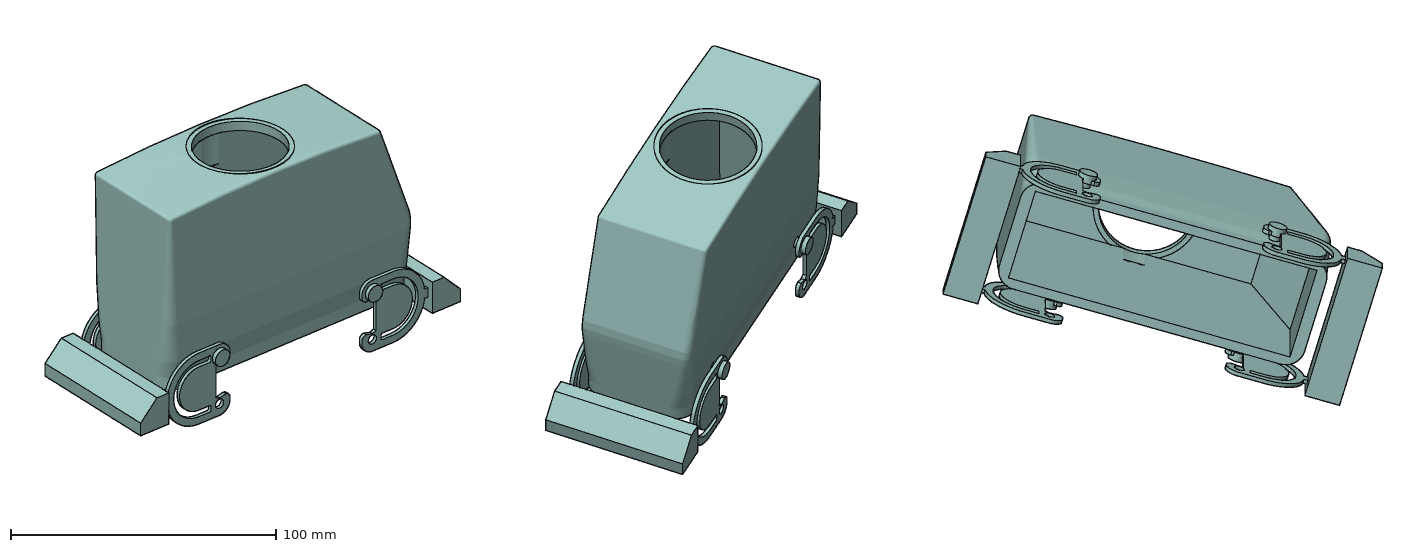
import cadquery as cq
import math

HOOD_WIDTH = 45.5
RIM_WIDTH = 43.4
WAIST_WIDTH = 44.6
RIM_HEIGHT = 5.1
WAIST_HEIGHT = 12.5
SHOULDER_HEIGHT = 28.9
BEND_START = 32.1
BEND_END = 35.5
CREST_HEIGHT = 78.8

HOOD_END = 60.0
FRONT_TOP_END = 59.0
REAR_BEND_START = 59.9
REAR_BEND_END = 59.3
REAR_TOP_END = 43.4

RIM_CORNER = 7.5
WAIST_CORNER = 6.1
FRONT_SHOULDER_CORNER = 4.2
REAR_SHOULDER_CORNER = 3.3
REAR_BEND_CORNER = 3.0
TOP_CORNER = 1.4
TOP_FILLET = 1.4

ARCH_RADIUS = 670.8
ARCH_Y = -6.7
CABLE_Y = -6.1

WALL = 4.7
ROOF = 4.4
CAVITY_WIDTH = 35.9

RING_RADIUS = 20.5
HOLE_RADIUS = 18.4
HOLE_DEPTH = 17.5

LEVER_MID_Z = -0.5
PLATE_HALF_HEIGHT = 15.6
PLATE_INNER_X = 24.2
PLATE_THICKNESS = 1.5
PLATE_ARC_REACH = 47.3
PLATE_EDGE_REACH = 39.0
SLOT_OUTER_RADIUS = 12.3
SLOT_INNER_RADIUS = 9.5
SLOT_END_REACH = 41.5
SLOT_CORNER = 0.6

PIN_REACH = 37.3
PIN_OFFSET = 10.5
HOOK_HOLE_DIAMETER = 3.9
HOOK_TIP_RADIUS = 2.2
NOTCH_OFFSET = 8.0

SHANK_DIAMETER = 4.2
SHANK_INNER_X = 20.3
HEAD_DIAMETER = 7.0
HEAD_OUTER_X = 27.6

BAR_LENGTH = 57.0
BAR_INNER_REACH = 64.3
BAR_OUTER_REACH = 78.0
BAR_TOP_REACH = 70.0
BAR_TOP_Z = 5.3
BAR_CHAMFER_Z = -2.8
BAR_BOTTOM_Z = -8.5
NECK_HEIGHT = 4.0


def end_section(z, width, reach, corner, side):
    """Wire of half a rounded rectangle from y = 0 to the end at y = side * reach."""
    half = width / 2
    inset = corner * (1 - math.sqrt(0.5))
    return (
        cq.Workplane("XY", origin=(0, 0, z))
        .moveTo(-half, 0)
        .lineTo(half, 0)
        .lineTo(half, side * (reach - corner))
        .threePointArc((half - inset, side * (reach - inset)), (half - corner, side * reach))
        .lineTo(corner - half, side * reach)
        .threePointArc((inset - half, side * (reach - inset)), (-half, side * (reach - corner)))
        .close()
        .val()
    )


def front_reach(z):
    """Reach of the flat front wall, which leans back above the rim band."""
    lean = (HOOD_END - FRONT_TOP_END) / (CREST_HEIGHT - RIM_HEIGHT)
    return HOOD_END - lean * (z - RIM_HEIGHT)


def hood_half(side, sections):
    """One half of the outer hood, its corner radius shrinking from the rim upwards."""
    return cq.Workplane(cq.Solid.makeLoft([end_section(*section, side) for section in sections], True))


def front_half():
    return hood_half(-1, [
        (0, RIM_WIDTH, HOOD_END, RIM_CORNER),
        (RIM_HEIGHT, RIM_WIDTH, HOOD_END, RIM_CORNER),
        (WAIST_HEIGHT, WAIST_WIDTH, front_reach(WAIST_HEIGHT), WAIST_CORNER),
        (SHOULDER_HEIGHT, HOOD_WIDTH, front_reach(SHOULDER_HEIGHT), FRONT_SHOULDER_CORNER),
        (CREST_HEIGHT, HOOD_WIDTH, FRONT_TOP_END, TOP_CORNER),
    ])


def rear_half():
    return hood_half(1, [
        (0, RIM_WIDTH, HOOD_END, RIM_CORNER),
        (RIM_HEIGHT, RIM_WIDTH, HOOD_END, RIM_CORNER),
        (WAIST_HEIGHT, WAIST_WIDTH, HOOD_END, WAIST_CORNER),
        (SHOULDER_HEIGHT, HOOD_WIDTH, HOOD_END, REAR_SHOULDER_CORNER),
        (BEND_START, HOOD_WIDTH, REAR_BEND_START, REAR_BEND_CORNER),
        (BEND_END, HOOD_WIDTH, REAR_BEND_END, REAR_BEND_CORNER),
        (CREST_HEIGHT, HOOD_WIDTH, REAR_TOP_END, TOP_CORNER),
    ])


def arched_top():
    """Everything below the gently arched top, which is highest near the cable opening."""
    return (
        cq.Workplane("YZ", origin=(0, ARCH_Y, CREST_HEIGHT - ARCH_RADIUS))
        .circle(ARCH_RADIUS)
        .extrude(HOOD_WIDTH, both=True)
    )


def hood_outside():
    outside = front_half().union(rear_half()).intersect(arched_top())
    return outside.faces(">Z").edges().fillet(TOP_FILLET)


def cavity():
    """Space inside the hood, open at the rim, following the sloped rear wall."""
    slope_run = (REAR_BEND_END - REAR_TOP_END) / (CREST_HEIGHT - BEND_END)
    slope_wall = WALL * math.hypot(1, slope_run)
    ceiling = CREST_HEIGHT - ROOF
    ceiling_rear = REAR_TOP_END + slope_run * ROOF - slope_wall
    rear_wall = HOOD_END - WALL
    bend_z = ceiling - (rear_wall - ceiling_rear) / slope_run
    return (
        cq.Workplane("YZ")
        .polyline([
            (-rear_wall, 0),
            (rear_wall, 0),
            (rear_wall, bend_z),
            (ceiling_rear, ceiling),
            (WALL - FRONT_TOP_END, ceiling),
        ])
        .close()
        .extrude(CAVITY_WIDTH / 2, both=True)
    )


RING_TOP = CREST_HEIGHT - ARCH_RADIUS + math.sqrt(ARCH_RADIUS**2 - RING_RADIUS**2)
RING_BOTTOM = CREST_HEIGHT - ROOF


def cable_cylinder(radius, bottom):
    return cq.Workplane("XY", origin=(0, CABLE_Y, bottom)).circle(radius).extrude(CREST_HEIGHT - bottom)


def hollow_hood():
    hole = cable_cylinder(HOLE_RADIUS, RING_TOP - HOLE_DEPTH)
    ring_seat = cable_cylinder(RING_RADIUS, RING_BOTTOM)
    return hood_outside().cut(cavity()).cut(hole).cut(ring_seat)


def plate_sketch():
    return cq.Workplane("YZ", origin=(PLATE_INNER_X, 0, LEVER_MID_Z))


def plate_blank():
    """Side plate outline: round outer end, straight inner edge and a hook at top and bottom."""
    end_radius = PLATE_HALF_HEIGHT - PIN_OFFSET
    lobe_reach = PIN_REACH - end_radius
    lobe_mid = end_radius * math.sqrt(0.5)
    tip_reach = lobe_reach + HOOK_TIP_RADIUS
    tip_height = PIN_OFFSET - HOOK_TIP_RADIUS / 2
    edge_height = tip_height - HOOK_TIP_RADIUS
    return (
        plate_sketch()
        .moveTo(PLATE_EDGE_REACH, -edge_height)
        .lineTo(PIN_REACH, -NOTCH_OFFSET)
        .lineTo(tip_reach, -edge_height)
        .radiusArc((lobe_reach, -tip_height), -HOOK_TIP_RADIUS)
        .lineTo(lobe_reach, -PIN_OFFSET)
        .threePointArc((PIN_REACH - lobe_mid, -PIN_OFFSET - lobe_mid), (PIN_REACH, -PLATE_HALF_HEIGHT))
        .lineTo(PLATE_ARC_REACH, -PLATE_HALF_HEIGHT)
        .threePointArc((PLATE_ARC_REACH + PLATE_HALF_HEIGHT, 0), (PLATE_ARC_REACH, PLATE_HALF_HEIGHT))
        .lineTo(PIN_REACH, PLATE_HALF_HEIGHT)
        .threePointArc((PIN_REACH - lobe_mid, PIN_OFFSET + lobe_mid), (lobe_reach, PIN_OFFSET))
        .lineTo(lobe_reach, tip_height)
        .radiusArc((tip_reach, edge_height), -HOOK_TIP_RADIUS)
        .lineTo(PIN_REACH, NOTCH_OFFSET)
        .lineTo(PLATE_EDGE_REACH, edge_height)
        .close()
        .extrude(PLATE_THICKNESS)
    )


def plate_slot():
    """C-shaped slot that follows the round outer end of a side plate."""
    return (
        plate_sketch()
        .moveTo(SLOT_END_REACH, SLOT_OUTER_RADIUS)
        .lineTo(PLATE_ARC_REACH, SLOT_OUTER_RADIUS)
        .threePointArc((PLATE_ARC_REACH + SLOT_OUTER_RADIUS, 0), (PLATE_ARC_REACH, -SLOT_OUTER_RADIUS))
        .lineTo(SLOT_END_REACH, -SLOT_OUTER_RADIUS)
        .lineTo(SLOT_END_REACH, -SLOT_INNER_RADIUS)
        .lineTo(PLATE_ARC_REACH, -SLOT_INNER_RADIUS)
        .threePointArc((PLATE_ARC_REACH + SLOT_INNER_RADIUS, 0), (PLATE_ARC_REACH, SLOT_INNER_RADIUS))
        .lineTo(SLOT_END_REACH, SLOT_INNER_RADIUS)
        .close()
        .extrude(PLATE_THICKNESS)
        .faces("<Y")
        .edges("|X")
        .fillet(SLOT_CORNER)
    )


def hook_hole():
    return (
        plate_sketch()
        .center(PIN_REACH, -PIN_OFFSET)
        .circle(HOOK_HOLE_DIAMETER / 2)
        .extrude(PLATE_THICKNESS)
    )


def neck():
    """Web that joins the round end of a side plate to the bar."""
    root = PLATE_ARC_REACH + (PLATE_HALF_HEIGHT + SLOT_OUTER_RADIUS) / 2
    length = BAR_INNER_REACH - root
    return (
        plate_sketch()
        .center(root + length / 2, 0)
        .rect(length, NECK_HEIGHT)
        .extrude(PLATE_THICKNESS)
    )


def pin_cylinder(diameter, inner_x, outer_x):
    return (
        cq.Workplane("YZ", origin=(inner_x, PIN_REACH, LEVER_MID_Z + PIN_OFFSET))
        .circle(diameter / 2)
        .extrude(outer_x - inner_x)
    )


def side_arm():
    """Side plate at positive x, with its neck and its headed pin."""
    plate = plate_blank().cut(plate_slot()).cut(hook_hole()).union(neck())
    shank = pin_cylinder(SHANK_DIAMETER, SHANK_INNER_X, PLATE_INNER_X)
    head = pin_cylinder(HEAD_DIAMETER, PLATE_INNER_X, HEAD_OUTER_X)
    return plate.union(shank).union(head)


def bar():
    return (
        cq.Workplane("YZ")
        .polyline([
            (BAR_INNER_REACH, BAR_BOTTOM_Z),
            (BAR_OUTER_REACH, BAR_BOTTOM_Z),
            (BAR_OUTER_REACH, BAR_CHAMFER_Z),
            (BAR_TOP_REACH, BAR_TOP_Z),
            (BAR_INNER_REACH, BAR_TOP_Z),
        ])
        .close()
        .extrude(BAR_LENGTH / 2, both=True)
    )


def lever():
    """Lever at the rear end: a bar carried by two mirrored side arms."""
    arm = side_arm()
    return bar().union(arm).union(arm.mirror("YZ"))


def hood_with_levers():
    """The hood and both levers, joined through the pins into one solid."""
    rear_lever = lever()
    return hollow_hood().union(rear_lever).union(rear_lever.mirror("XZ"))


def cable_ring():
    """Ring seated in the roof around the cable hole."""
    return (
        cq.Workplane("XY", origin=(0, CABLE_Y, RING_BOTTOM))
        .circle(RING_RADIUS)
        .circle(HOLE_RADIUS)
        .extrude(RING_TOP - RING_BOTTOM)
    )


hood = hood_with_levers()
ring = cable_ring()
result = cq.Compound.makeCompound([hood.solids().val(), ring.solids().val()])